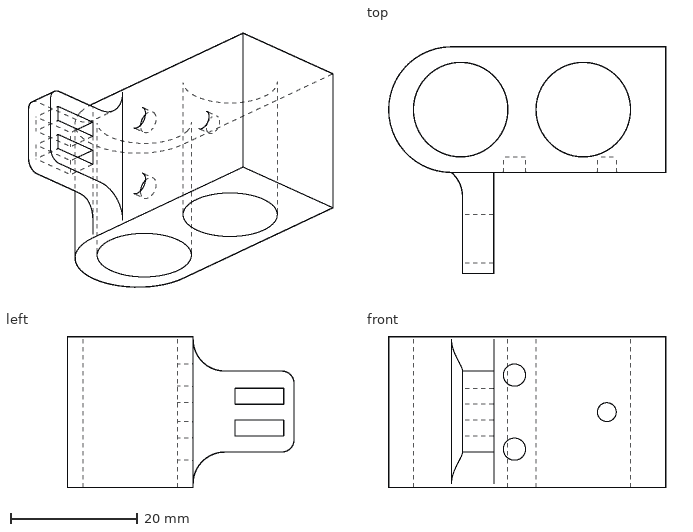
import cadquery as cq
import math

body_length = 44.0
body_width = 19.98
body_height = 24.0
end_radius = body_width / 2
front_face = -body_width / 2

bore_diameter = 14.95
first_bore_x = 11.45
bore_spacing = 19.45

hole_depth = 2.5
pair_diameter = 3.5
pair_x = 19.98
pair_spacing = 11.75
single_diameter = 3.0
single_x = 34.65

rim_radius = 0.25

tab_length = 16.0
tab_height = 12.9
tab_left = 11.7
tab_raise = 0.1
tab_thickness = 5.0
tab_corner_radius = 2.0
root_radius = 4.95

slot_length = 7.7
slot_height = 2.5
slot_spacing = 5.0
slot_end_margin = 1.65

overlap = 0.45


def make_body():
    """Block with a half-round -X end."""
    half = body_width / 2
    return (
        cq.Workplane("XY", origin=(0, 0, -body_height / 2))
        .moveTo(end_radius, -half)
        .lineTo(body_length, -half)
        .lineTo(body_length, half)
        .lineTo(end_radius, half)
        .threePointArc((0, 0), (end_radius, -half))
        .close()
        .extrude(body_height)
    )


def drill_bores(body):
    """Cut the two bores through the body and round their top rims."""
    drilled = (
        body.faces(">Z")
        .workplane(origin=(0, 0, 0))
        .pushPoints([(first_bore_x, 0), (first_bore_x + bore_spacing, 0)])
        .hole(bore_diameter)
    )
    smallest_radius = cq.selectors.RadiusNthSelector(0)
    return drilled.faces(">Z").edges(smallest_radius).fillet(rim_radius)


def drill_front_holes(body):
    """Cut the three blind holes into the front face and round their rims."""
    drilled = (
        body.faces("<Y")
        .workplane(origin=(0, 0, 0))
        .pushPoints([(pair_x, -pair_spacing / 2), (pair_x, pair_spacing / 2)])
        .hole(pair_diameter, hole_depth)
        .faces("<Y")
        .workplane(origin=(0, 0, 0))
        .pushPoints([(single_x, 0)])
        .hole(single_diameter, hole_depth)
    )
    return drilled.faces("<Y").edges("%CIRCLE").fillet(rim_radius)


def make_tab():
    """Side outline and plan outline of the tab, each extruded and intersected."""
    tip = front_face - tab_length
    sunk = front_face + overlap
    half_height = tab_height / 2
    root_half_height = half_height + root_radius
    tab_right = tab_left + tab_thickness
    diagonal = root_radius * math.sqrt(0.5)

    side = (
        cq.Workplane("YZ")
        .moveTo(sunk, -root_half_height)
        .lineTo(front_face, -root_half_height)
        .threePointArc(
            (front_face - root_radius + diagonal, -root_half_height + diagonal),
            (front_face - root_radius, -half_height),
        )
        .lineTo(tip, -half_height)
        .lineTo(tip, half_height)
        .lineTo(front_face - root_radius, half_height)
        .threePointArc(
            (front_face - root_radius + diagonal, root_half_height - diagonal),
            (front_face, root_half_height),
        )
        .lineTo(sunk, root_half_height)
        .close()
        .extrude(tab_right)
        .faces("<Y")
        .edges("|X")
        .fillet(tab_corner_radius)
    )

    root_angle = math.acos(1 - (tab_left - end_radius) / root_radius)
    arc_center_x = tab_left - root_radius
    arc_center_y = front_face - root_radius * math.sin(root_angle)
    arc_middle = (
        arc_center_x + root_radius * math.cos(root_angle / 2),
        arc_center_y + root_radius * math.sin(root_angle / 2),
    )
    plan = (
        cq.Workplane("XY", origin=(0, 0, -root_half_height))
        .moveTo(tab_right, sunk)
        .lineTo(tab_right, tip)
        .lineTo(tab_left, tip)
        .lineTo(tab_left, arc_center_y)
        .threePointArc(arc_middle, (end_radius, front_face))
        .lineTo(end_radius, sunk)
        .close()
        .extrude(2 * root_half_height)
    )
    return side.intersect(plan)


def make_slots():
    """Cutters for the two rectangular slots through the tab along X."""
    slot_y = front_face - tab_length + slot_end_margin + slot_length / 2
    return (
        cq.Workplane("YZ", origin=(tab_left, 0, 0))
        .pushPoints([(slot_y, -slot_spacing / 2), (slot_y, slot_spacing / 2)])
        .rect(slot_length, slot_height)
        .extrude(tab_thickness)
    )


body = drill_front_holes(drill_bores(make_body()))
tab = make_tab().translate((0, 0, tab_raise))
result = body.union(tab).cut(make_slots())